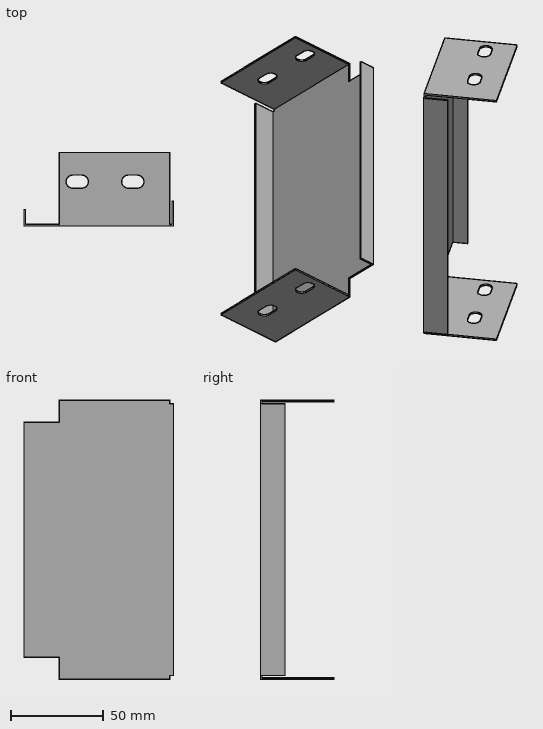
import cadquery as cq

width = 81.0
depth = 39.9
height = 151.0
sheet = 1.0

lip_depth = 9.0
notch_width = 19.0
notch_height = 12.0

flange_depth = 13.5
relief = 2.0

slot_length = 12.0
slot_width = 7.0
slot_spacing = 30.0
first_slot_x = 28.8
slot_y = 24.0

end_width = width - notch_width - relief


def sheet_box(x, z, size_x, size_y, size_z):
    """Box with its lowest corner at (x, 0, z), growing back from the front face."""
    return cq.Workplane("XY").box(size_x, size_y, size_z, centered=False).translate((x, 0, z))


panel = sheet_box(notch_width, 0, end_width, sheet, height)
panel = panel.union(sheet_box(0, notch_height, width / 2, sheet, height - 2 * notch_height))
panel = panel.union(sheet_box(width / 2, relief, width / 2, sheet, height - 2 * relief))

left_lip = sheet_box(0, notch_height, sheet, lip_depth, height - 2 * notch_height)
right_flange = sheet_box(width - sheet, relief, sheet, flange_depth, height - 2 * relief)
body = panel.union(left_lip).union(right_flange)

for flange_z in (0, height - sheet):
    body = body.union(sheet_box(notch_width, flange_z, end_width, depth, sheet))

slots = (
    cq.Workplane("XY")
    .pushPoints([(first_slot_x, slot_y), (first_slot_x + slot_spacing, slot_y)])
    .slot2D(slot_length, slot_width)
    .extrude(height)
)

result = body.cut(slots)